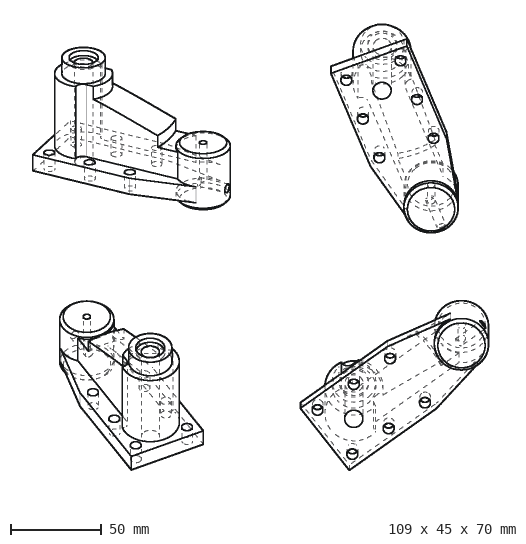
import cadquery as cq
import math

plate_left = -20.0
plate_width = 45.0
total_length = 109.0
taper_start = 40.0
pin_radius = 30.0 / 2
pin_x = plate_left + total_length - pin_radius

plate_top = 10.0
post_top = plate_top + 45.0
total_height = 70.0
pin_bottom = -5.0
boss_top = pin_bottom + total_height
pin_height = 35.0
pin_chamfer = 2.0
pin_hole_diameter = 4.0
cross_hole_diameter = 5.0
cross_hole_z = plate_top / 2

post_radius = 16.0
boss_diameter = 24.0
counterbore_diameter = 16.0
counterbore_depth = 3.0
bore_diameter = 10.0

rib_width = 22.0
rib_start_height = 37.0
rib_end_height = 24.0
rib_end_radius = 52.8
ledge_height = 16.7
undercut_x = 3.2
undercut_radius = 4.0

mount_hole_diameter = 6.0
mount_hole_first_x = -13.0
mount_hole_pitch = 25.0
mount_hole_count = 3
mount_hole_y = 16.0


def cylinder(x, radius, bottom, top):
    return cq.Workplane("XY", origin=(x, 0, bottom)).circle(radius).extrude(top - bottom)


def make_plate():
    """Rectangular plate whose end tapers along lines tangent to the pin."""
    half_width = plate_width / 2
    reach = pin_x - taper_start
    corner_angle = math.atan2(half_width, -reach)
    tangent_angle = corner_angle - math.acos(pin_radius / math.hypot(reach, half_width))
    tangent_x = pin_x + pin_radius * math.cos(tangent_angle)
    tangent_y = pin_radius * math.sin(tangent_angle)
    plate = (
        cq.Workplane("XY")
        .moveTo(plate_left, -half_width)
        .lineTo(taper_start, -half_width)
        .lineTo(tangent_x, -tangent_y)
        .threePointArc((pin_x + pin_radius, 0), (tangent_x, tangent_y))
        .lineTo(taper_start, half_width)
        .lineTo(plate_left, half_width)
        .close()
        .extrude(plate_top)
    )
    hole_points = [
        (mount_hole_first_x + i * mount_hole_pitch, side * mount_hole_y)
        for i in range(mount_hole_count)
        for side in (-1, 1)
    ]
    holes = cq.Workplane("XY").pushPoints(hole_points).circle(mount_hole_diameter / 2).extrude(plate_top)
    return plate.cut(holes)


def make_undercut(side):
    """Slot along one flank of the rib, rounded where it meets the post."""
    inner_y = side * rib_width / 2
    arc_x = undercut_x + undercut_radius
    arc_y = inner_y + side * undercut_radius
    diagonal = undercut_radius * math.sqrt(0.5)
    outer_y = side * plate_width / 2
    end_x = post_radius + undercut_radius
    return (
        cq.Workplane("XY", origin=(0, 0, plate_top))
        .moveTo(undercut_x, outer_y)
        .lineTo(undercut_x, arc_y)
        .threePointArc((arc_x - diagonal, arc_y - side * diagonal), (arc_x, inner_y))
        .lineTo(end_x, inner_y)
        .lineTo(end_x, outer_y)
        .close()
        .extrude(post_top - plate_top)
    )


def make_rib():
    """Rib with a conical top, turned about the post axis and trimmed to width."""
    turned = (
        cq.Workplane("XZ")
        .moveTo(0, plate_top)
        .lineTo(pin_x, plate_top)
        .lineTo(pin_x, plate_top + ledge_height)
        .lineTo(rib_end_radius, plate_top + ledge_height)
        .lineTo(rib_end_radius, plate_top + rib_end_height)
        .lineTo(post_radius, plate_top + rib_start_height)
        .lineTo(0, plate_top + rib_start_height)
        .close()
        .revolve(360, (0, 0), (0, 1))
    )
    envelope = cq.Workplane("XY").box(pin_x, rib_width, post_top, centered=(False, True, False))
    return turned.intersect(envelope)


def make_pin():
    pin = cylinder(pin_x, pin_radius, pin_bottom, pin_bottom + pin_height)
    return pin.faces("<Z or >Z").chamfer(pin_chamfer)


def make_pin_passage():
    """Blind cross hole from the +X side, met by a small hole from the pin's top."""
    down_hole = cylinder(pin_x, pin_hole_diameter / 2, cross_hole_z, pin_bottom + pin_height)
    cross_hole_end = pin_x - cross_hole_diameter / 2
    cross_hole = (
        cq.Workplane("YZ", origin=(cross_hole_end, 0, cross_hole_z))
        .circle(cross_hole_diameter / 2)
        .extrude(pin_x + pin_radius - cross_hole_end)
    )
    return down_hole.union(cross_hole)


post = cylinder(0, post_radius, plate_top, post_top)
for flank in (-1, 1):
    post = post.cut(make_undercut(flank))

boss = cylinder(0, boss_diameter / 2, plate_top + rib_start_height, boss_top)
bore = cylinder(0, bore_diameter / 2, 0, boss_top)
counterbore = cylinder(0, counterbore_diameter / 2, boss_top - counterbore_depth, boss_top)

result = make_plate().union(post).union(boss).union(make_rib()).union(make_pin())
result = result.cut(bore).cut(counterbore).cut(make_pin_passage())